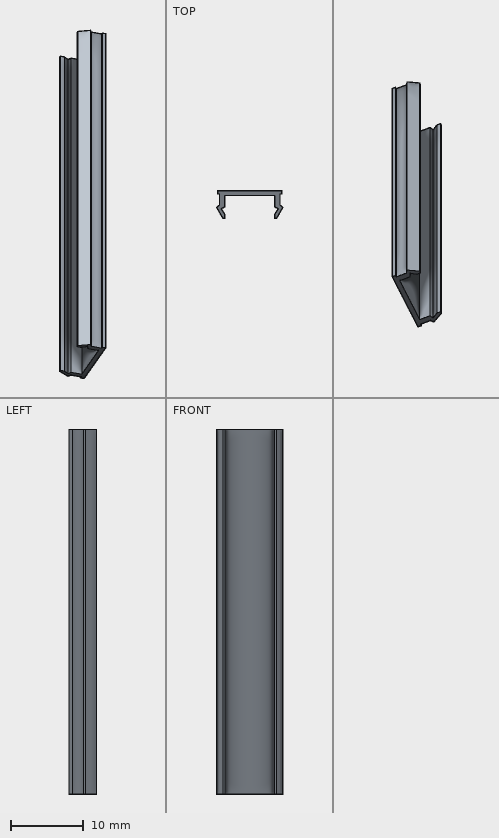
import cadquery as cq

LENGTH = 50.0
DEPTH = 3.8
BARB_SPAN = 9.1

WEB_WIDTH = 8.8
WEB_THICKNESS = 0.7
LIP_THICKNESS = 0.5
CHANNEL_WIDTH = 6.8
LEG_THICKNESS = 0.75

BARB_START_DEPTH = 2.0
BARB_POINT_DEPTH = 2.3
LEDGE_DEPTH = 2.25
NOTCH_WIDTH = 0.5
NOTCH_DEPTH = 2.5
TIP_START_DEPTH = 3.25
TIP_WIDTH = 0.3

INNER_X = CHANNEL_WIDTH / 2
OUTER_X = INNER_X + LEG_THICKNESS
BACK_Y = DEPTH / 2


def half_outline():
    """Points of the +X half of the profile as (x, depth below the web face)."""
    return [
        (0, 0),
        (WEB_WIDTH / 2, 0),
        (WEB_WIDTH / 2, LIP_THICKNESS),
        (OUTER_X, LIP_THICKNESS),
        (OUTER_X, BARB_START_DEPTH),
        (BARB_SPAN / 2, BARB_POINT_DEPTH),
        (INNER_X + TIP_WIDTH, DEPTH),
        (INNER_X, DEPTH),
        (INNER_X, TIP_START_DEPTH),
        (INNER_X + NOTCH_WIDTH, NOTCH_DEPTH),
        (INNER_X, LEDGE_DEPTH),
        (INNER_X, WEB_THICKNESS),
        (0, WEB_THICKNESS),
    ]


def clip_profile():
    """Closed profile in the XY plane, mirrored about the YZ plane."""
    points = [(x, BACK_Y - depth) for x, depth in half_outline()]
    return cq.Workplane("XY").polyline(points).mirrorY()


result = clip_profile().extrude(LENGTH)